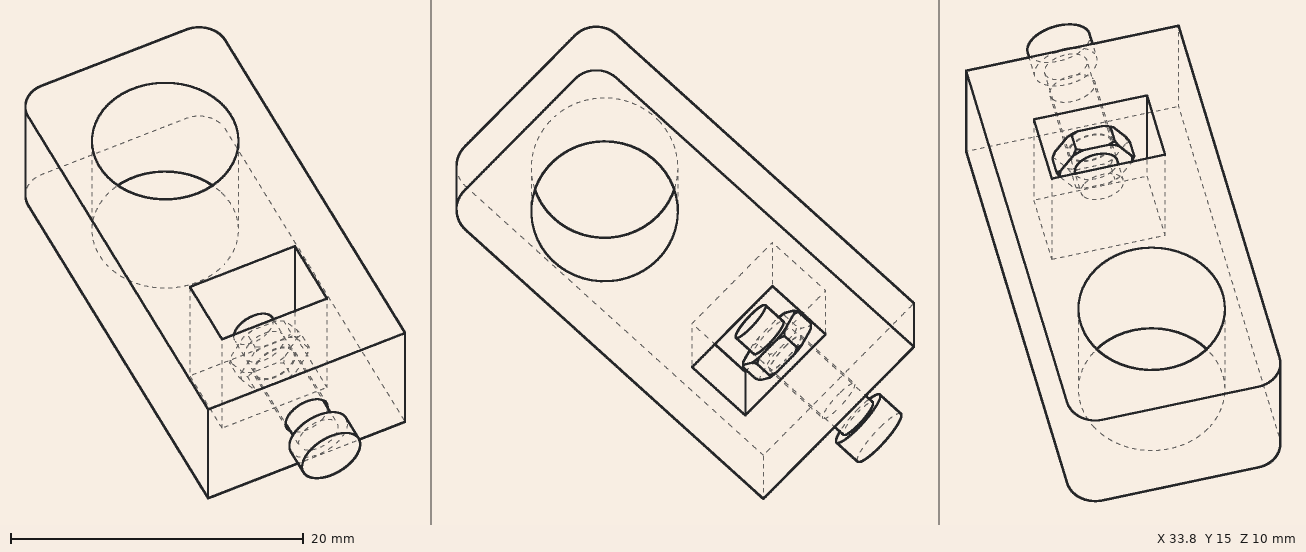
import cadquery as cq

block_length = 30.0
block_width = 15.0
block_height = 10.0
corner_radius = 2.0

bore_diameter = 10.0
bore_x = 8.0
window_start = 20.0
window_end = 25.0
window_width = 8.0

overall_length = 33.83
screw_tip_x = 21.72
shank_diameter = 3.0
clearance_diameter = 3.2
head_diameter = 4.43
head_length = 2.0

nut_thickness = 1.6
nut_across_corners = 5.48
nut_chamfer = 0.2


def cylinder_along_x(diameter, start, end):
    return cq.Workplane("YZ", origin=(start, 0, 0)).circle(diameter / 2).extrude(end - start)


def make_housing():
    block = (
        cq.Workplane("XY")
        .box(block_length, block_width, block_height)
        .translate((block_length / 2, 0, 0))
        .edges("|Z and <X")
        .fillet(corner_radius)
    )
    bottom_plane = cq.Workplane("XY", origin=(0, 0, -block_height / 2))
    bore = bottom_plane.center(bore_x, 0).circle(bore_diameter / 2).extrude(block_height)
    window_length = window_end - window_start
    window = (
        bottom_plane.center(window_start + window_length / 2, 0)
        .rect(window_length, window_width)
        .extrude(block_height)
    )
    screw_hole = cylinder_along_x(clearance_diameter, window_end, block_length)
    return block.cut(bore).cut(window).cut(screw_hole)


def make_screw():
    head_start = overall_length - head_length
    shank = cylinder_along_x(shank_diameter, screw_tip_x, head_start)
    head = cylinder_along_x(head_diameter, head_start, overall_length)
    return shank.union(head)


def make_nut():
    nut_start = window_end - nut_thickness
    hexagon = cq.Workplane("YZ", origin=(nut_start, 0, 0)).polygon(6, nut_across_corners).extrude(nut_thickness)
    corner_trim = cylinder_along_x(nut_across_corners, nut_start, window_end).edges().chamfer(nut_chamfer)
    threaded_hole = cylinder_along_x(shank_diameter, nut_start, window_end)
    return hexagon.intersect(corner_trim).cut(threaded_hole)


housing = make_housing()
screw = make_screw()
nut = make_nut()

result = cq.Compound.makeCompound([housing.solids().val(), screw.solids().val(), nut.solids().val()])